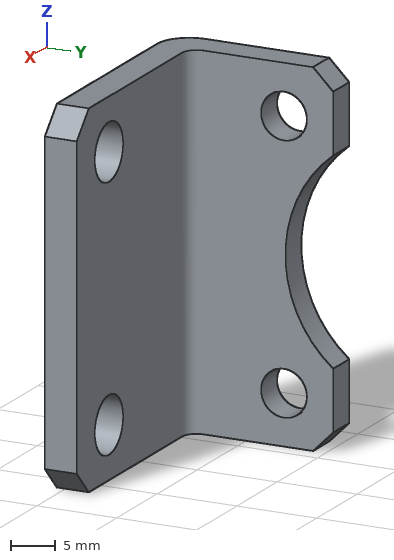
import cadquery as cq

height = 45.0
long_leg = 32.0
short_leg = 22.0
thickness = 4.0
outer_bend_radius = thickness
inner_bend_radius = 1.8

long_leg_chamfer = 3.0
long_leg_hole_diameter = 7.0
long_leg_hole_x = 24.0
long_leg_hole_spacing = 32.0

short_leg_chamfer = 2.5
short_leg_hole_diameter = 5.7
short_leg_hole_y = 15.85
short_leg_hole_spacing = 32.5

cutout_radius = 16.0
cutout_depth = 6.0
cutout_center_y = short_leg - cutout_depth + cutout_radius


def bent_plate():
    """L-shaped plate with rounded inner and outer bend."""
    plate = (
        cq.Workplane("XY")
        .workplane(offset=-height / 2)
        .polyline([
            (0, 0),
            (long_leg, 0),
            (long_leg, thickness),
            (thickness, thickness),
            (thickness, short_leg),
            (0, short_leg),
        ])
        .close()
        .extrude(height)
    )
    plate = plate.edges(cq.NearestToPointSelector((0, 0, 0))).fillet(outer_bend_radius)
    inner_corner = cq.NearestToPointSelector((thickness, thickness, 0))
    return plate.edges(inner_corner).fillet(inner_bend_radius)


def chamfer_free_ends(plate):
    """Cut the top and bottom corners at the free end of each leg."""
    plate = plate.faces(">X").edges("|Y").chamfer(long_leg_chamfer)
    return plate.faces(">Y").edges("|X").chamfer(short_leg_chamfer)


def cylinder_pair(plane, across, spacing, diameter):
    """Two cutters, one leg thickness long, spaced evenly about Z = 0."""
    length = -thickness if plane == "XZ" else thickness
    return (
        cq.Workplane(plane)
        .pushPoints([(across, -spacing / 2), (across, spacing / 2)])
        .circle(diameter / 2)
        .extrude(length)
    )


long_leg_holes = cylinder_pair(
    "XZ", long_leg_hole_x, long_leg_hole_spacing, long_leg_hole_diameter
)
short_leg_holes = cylinder_pair(
    "YZ", short_leg_hole_y, short_leg_hole_spacing, short_leg_hole_diameter
)
edge_cutout = (
    cq.Workplane("YZ")
    .center(cutout_center_y, 0)
    .circle(cutout_radius)
    .extrude(thickness)
)

result = (
    chamfer_free_ends(bent_plate())
    .cut(long_leg_holes)
    .cut(short_leg_holes)
    .cut(edge_cutout)
)